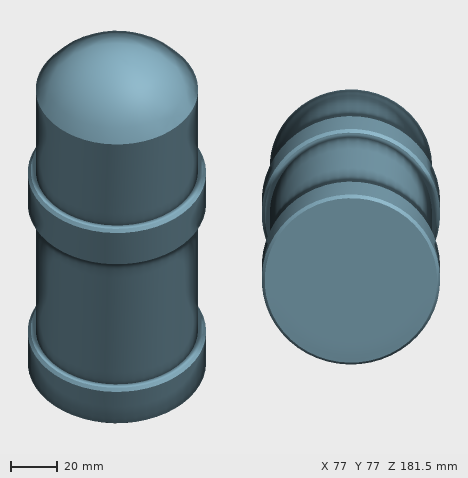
import cadquery as cq

total_height = 181.5
barrel_radius = 35.0
collar_radius = 38.5
collar_height = 20.9
collar_chamfer = 1.3
base_height = 93.3
dome_height = 19.8

dome_base = total_height - dome_height
dome_radius = (barrel_radius**2 + dome_height**2) / (2 * dome_height)


def make_collar(bottom):
    """Make a round band, chamfered at both ends, that starts at height bottom."""
    return (
        cq.Workplane("XY", origin=(0, 0, bottom))
        .circle(collar_radius)
        .extrude(collar_height)
        .edges()
        .chamfer(collar_chamfer)
    )


def make_barrel(bottom, top):
    """Make the round barrel of a module, with a collar around its foot."""
    barrel = (
        cq.Workplane("XY", origin=(0, 0, bottom))
        .circle(barrel_radius)
        .extrude(top - bottom)
    )
    return barrel.union(make_collar(bottom))


def make_dome():
    """Make the spherical cap whose rim matches the barrel."""
    sphere_center = total_height - dome_radius
    sphere = cq.Workplane("XY", origin=(0, 0, sphere_center)).sphere(dome_radius)
    space_above_barrel = (
        cq.Workplane("XY", origin=(0, 0, dome_base))
        .circle(collar_radius)
        .extrude(dome_height)
    )
    return sphere.intersect(space_above_barrel)


def make_base_module():
    """Make the lower module: a flat-topped barrel with a collar at its foot."""
    return make_barrel(0, base_height)


def make_top_module():
    """Make the upper module, which stands on the base and ends in a dome."""
    return make_barrel(base_height, dome_base).union(make_dome())


base_module = make_base_module()
top_module = make_top_module()

result = cq.Compound.makeCompound([base_module.solids().val(), top_module.solids().val()])